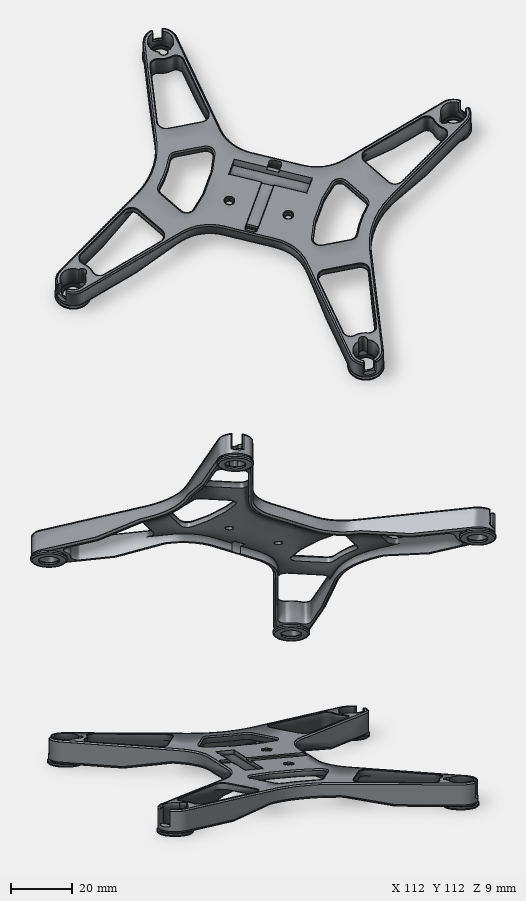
import cadquery as cq
import math

height = 9.0
foot_height = 1.0
web_depth = 5.0
web_bottom = height - web_depth
deck_thickness = 2.2
deck_bottom = height - deck_thickness

foot_diameter = 12.0
motor_offset = 56.0 - foot_diameter / 2
mount_radius = 5.7
arm_angle = 60.0
flare_angle = 7.7
wall = 1.5
edge_chamfer = 0.5
lower_chamfer = 0.7
bevel_taper = 45.0
foot_chamfer = 0.5
ramp_start = 20.3
ramp_end = 37.1
arm_envelope_width = 44.8

span = 2 * motor_offset + foot_diameter

waist_half_depth = 15.9
end_fillet = 15.5
side_fillet = 29.1

pocket_radius = 4.3
pocket_floor = foot_height
motor_hole_diameter = 6.8
motor_hole_bevel = 0.5
wire_slot_width = 2.9
wire_slot_reach = 5.6
notch_width = 3.4
notch_depth = 5.2
notch_fillet = 0.6
notch_flare = 0.9

arm_window_end = 34.5
arm_window_inner_fillet = 2.9
arm_window_mount_fillet = 2.5
arm_window_bevel = 0.2
mount_rim_radius = 7.2
side_window_inner_x = -19.3
side_window_flat = 4.8
side_window_peak_x = -21.0
side_window_peak_y = 14.9
side_window_outer_x = -33.8
side_window_waist_x = -33.1
side_window_fillet = 2.5

bar_length = 26.7
bar_front = 5.2
bar_back = 11.4
bar_depth = 1.5
groove_width = 4.1
groove_depth = 0.6
strap_hole_inner = 12.5
strap_hole_outer = 14.8
strap_hole_fillet = 1.0
strap_hole_bevel = 0.5
screw_hole_diameter = 2.8
screw_hole_bevel = 0.3
screw_x = 10.1
screw_y = -5.0


def on_each_arm(shape):
    """Copy a shape from the (-X, -Y) arm to all four arms."""
    pair = shape.union(shape.mirror("YZ"))
    return pair.union(pair.mirror("XZ"))


def place_on_arm(shape):
    """Move a shape built with the motor at the origin and the arm along +X."""
    return shape.rotate((0, 0, 0), (0, 0, 1), arm_angle).translate((-motor_offset, -motor_offset, 0))


def arm_edge(side):
    """Tangent point and direction of one long edge; side is +1 (outer flank) or -1."""
    direction = math.radians(arm_angle + side * flare_angle)
    normal = direction + side * math.pi / 2
    x = -motor_offset + mount_radius * math.cos(normal)
    y = -motor_offset + mount_radius * math.sin(normal)
    return x, y, math.tan(direction)


flank_x, flank_y, flank_slope = arm_edge(1)
front_x, front_y, front_slope = arm_edge(-1)
side_corner_x = flank_x - flank_y / flank_slope
end_corner_x = front_x + (-waist_half_depth - front_y) / front_slope
tip_x = -motor_offset - mount_radius * math.cos(math.radians(arm_angle))
tip_y = -motor_offset - mount_radius * math.sin(math.radians(arm_angle))


def outline_prism():
    """Four-armed outline, full height above the feet."""
    prism = (
        cq.Workplane("XY").workplane(offset=foot_height)
        .moveTo(side_corner_x, 0)
        .lineTo(flank_x, flank_y)
        .threePointArc((tip_x, tip_y), (front_x, front_y))
        .lineTo(end_corner_x, -waist_half_depth)
        .lineTo(-end_corner_x, -waist_half_depth)
        .lineTo(-front_x, front_y)
        .threePointArc((-tip_x, tip_y), (-flank_x, flank_y))
        .lineTo(-side_corner_x, 0)
        .lineTo(-flank_x, -flank_y)
        .threePointArc((-tip_x, -tip_y), (-front_x, -front_y))
        .lineTo(-end_corner_x, waist_half_depth)
        .lineTo(end_corner_x, waist_half_depth)
        .lineTo(front_x, -front_y)
        .threePointArc((tip_x, -tip_y), (flank_x, -flank_y))
        .close()
        .extrude(height - foot_height)
    )
    prism_middle = (foot_height + height) / 2
    end_corners = [(x, y) for x in (end_corner_x, -end_corner_x)
                   for y in (waist_half_depth, -waist_half_depth)]
    for x, y in end_corners:
        prism = prism.edges(cq.selectors.NearestToPointSelector((x, y, prism_middle))).fillet(end_fillet)
    for x in (side_corner_x, -side_corner_x):
        prism = prism.edges(cq.selectors.NearestToPointSelector((x, 0, prism_middle))).fillet(side_fillet)
    return prism


def depth_envelope():
    """Shallow in the middle, ramping down to full depth along each arm."""
    slab = cq.Workplane("XY").workplane(offset=web_bottom).rect(span, span).extrude(web_depth)
    arm = (
        cq.Workplane("XZ")
        .moveTo(-foot_diameter, height)
        .lineTo(-foot_diameter, foot_height)
        .lineTo(ramp_start, foot_height)
        .lineTo(ramp_end, web_bottom)
        .lineTo(ramp_end, height)
        .close()
        .extrude(arm_envelope_width / 2, both=True)
    )
    return slab.union(on_each_arm(place_on_arm(arm)))


def chamfer_lower_edges(solid):
    """Bevel the bottom edges of the outer walls, following the ramps."""
    lower_zone = cq.selectors.BoxSelector((-span, -span, 0), (span, span, web_bottom + lower_chamfer))
    return solid.faces("#Z or %CYLINDER").edges(lower_zone).chamfer(lower_chamfer)


def underside_hollow(prism):
    """Space below the deck, inside the outer wall and clear of the motor mounts."""
    inner = (
        prism.faces("<Z").wires().toPending()
        .offset2D(-wall).extrude(deck_bottom - foot_height, combine=False)
    )
    tip_length = ramp_start + foot_diameter
    tip = (
        cq.Workplane("XY").center(ramp_start - tip_length / 2, 0)
        .rect(tip_length, arm_envelope_width).extrude(height)
    )
    return inner.cut(on_each_arm(place_on_arm(tip)))


def with_bevelled_rim(opening, bevel):
    """Flare the top of a straight opening so that it leaves a bevelled rim."""
    flare = (
        opening.faces("<Z").wires().toPending().extrude(bevel, combine=False, taper=-bevel_taper)
        .translate((0, 0, height - bevel))
    )
    return opening.union(flare)


def arm_window():
    """Tapered opening that leaves a thin wall on both sides of the arm."""
    flare = math.radians(flare_angle)
    start_half = (mount_radius - wall) / math.cos(flare)
    end_half = start_half + arm_window_end * math.tan(flare)
    window = (
        cq.Workplane("XY")
        .polyline([(0, -start_half), (arm_window_end, -end_half),
                   (arm_window_end, end_half), (0, start_half)])
        .close().extrude(height)
    )
    window = window.cut(cq.Workplane("XY").circle(mount_rim_radius).extrude(height))
    window = window.edges("|Z and >X").fillet(arm_window_inner_fillet)
    mount_corners = cq.selectors.BoxSelector(
        (0, -end_half, 0), (mount_rim_radius, end_half, height))
    window = window.edges("|Z").edges(mount_corners).fillet(arm_window_mount_fillet)
    return with_bevelled_rim(window, arm_window_bevel)


def side_window():
    """Opening in the -X side of the deck; its outer side follows the waist."""
    slant_run = side_window_peak_x - side_window_outer_x
    outer_y = side_window_peak_y - slant_run / math.tan(math.radians(arm_angle))
    window = (
        cq.Workplane("XY")
        .moveTo(side_window_outer_x, -outer_y)
        .threePointArc((side_window_waist_x, 0), (side_window_outer_x, outer_y))
        .lineTo(side_window_peak_x, side_window_peak_y)
        .lineTo(side_window_inner_x, side_window_flat)
        .lineTo(side_window_inner_x, -side_window_flat)
        .lineTo(side_window_peak_x, -side_window_peak_y)
        .close().extrude(height)
    )
    for x, y in ((side_window_outer_x, outer_y), (side_window_peak_x, side_window_peak_y)):
        for side in (-1, 1):
            corner = cq.selectors.NearestToPointSelector((x, side * y, height / 2))
            window = window.edges(corner).fillet(side_window_fillet)
    return with_bevelled_rim(window, edge_chamfer)


def foot():
    """Round foot under the motor mount."""
    disc = cq.Workplane("XY").circle(foot_diameter / 2).extrude(foot_height)
    return disc.faces("<Z").edges().chamfer(foot_chamfer)


def motor_pocket():
    """Motor bore with its wire slot and the through hole in the floor."""
    bore = cq.Workplane("XY").workplane(offset=pocket_floor).circle(pocket_radius).extrude(height)
    slot = (
        cq.Workplane("XY").workplane(offset=pocket_floor)
        .center(wire_slot_reach - wire_slot_width / 2, 0).circle(wire_slot_width / 2).extrude(height)
    )
    hole = cq.Workplane("XY").circle(motor_hole_diameter / 2).extrude(height)
    mouth = (
        cq.Workplane("XY").workplane(offset=pocket_floor - motor_hole_bevel)
        .circle(motor_hole_diameter / 2).extrude(motor_hole_bevel, taper=-bevel_taper)
    )
    return bore.union(slot).union(hole).union(mouth)


def mount_notch():
    """U-shaped notch through the outer side of the mount, flared at its outer face."""
    def u_prism(grow, start, end, taper):
        depth = notch_depth + grow
        return (
            cq.Workplane("YZ").workplane(offset=start)
            .center(0, height)
            .rect(notch_width + 2 * grow, 2 * depth)
            .extrude(end - start, taper=taper)
        )

    slot = u_prism(0, 0, -foot_diameter, 0).edges("|X and <Z").fillet(notch_fillet)
    flare = u_prism(notch_flare, -mount_radius, -mount_radius + notch_flare, bevel_taper)
    return slot.union(flare)


def strap_recess():
    """Recessed bar with one sloping side, crossed by a shallow groove that ends in two holes."""
    bar = (
        cq.Workplane("YZ").workplane(offset=-bar_length / 2)
        .moveTo(bar_front, height)
        .lineTo(bar_front, height - bar_depth)
        .lineTo(bar_back - bar_depth, height - bar_depth)
        .lineTo(bar_back, height)
        .close().extrude(bar_length)
    )
    groove = (
        cq.Workplane("XY").workplane(offset=height - groove_depth)
        .rect(groove_width, 2 * strap_hole_inner).extrude(groove_depth)
    )
    groove_end_bevel = (
        cq.Workplane("YZ").workplane(offset=-groove_width / 2)
        .polyline([(strap_hole_inner - strap_hole_bevel, height - groove_depth),
                   (strap_hole_inner, height - groove_depth),
                   (strap_hole_inner, height - groove_depth - strap_hole_bevel)])
        .close().extrude(groove_width)
    )
    recess = bar.union(groove).union(groove_end_bevel).union(groove_end_bevel.mirror("XZ"))
    hole_length = strap_hole_outer - strap_hole_inner
    for side in (-1, 1):
        hole = (
            cq.Workplane("XY")
            .center(0, side * (strap_hole_inner + hole_length / 2))
            .rect(groove_width, hole_length).extrude(height)
            .edges("|Z").edges(">Y" if side > 0 else "<Y").fillet(strap_hole_fillet)
        )
        recess = recess.union(hole)
    return recess


outline = outline_prism()
body = outline.faces(">Z").edges().chamfer(edge_chamfer)
body = body.intersect(depth_envelope())
body = chamfer_lower_edges(body)
body = body.cut(underside_hollow(outline))

body = body.union(on_each_arm(place_on_arm(foot())))
body = body.cut(on_each_arm(place_on_arm(arm_window())))
body = body.cut(on_each_arm(place_on_arm(motor_pocket())))
body = body.cut(on_each_arm(place_on_arm(mount_notch())))

left_window = side_window()
body = body.cut(left_window).cut(left_window.mirror("YZ"))
body = body.cut(strap_recess())

screw_hole = cq.Workplane("XY").circle(screw_hole_diameter / 2).extrude(height)
screw_hole = with_bevelled_rim(screw_hole, screw_hole_bevel)
for x in (-screw_x, screw_x):
    body = body.cut(screw_hole.translate((x, screw_y, 0)))

result = body